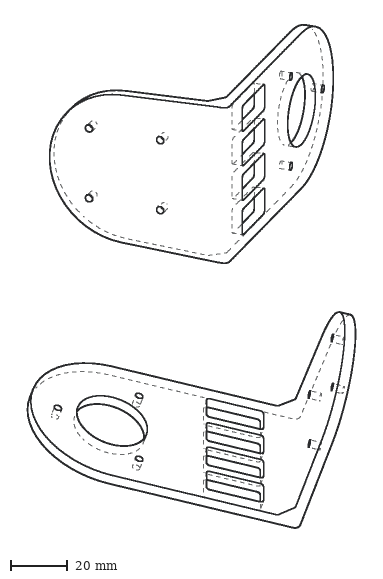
import cadquery as cq
import math

height = 60.0
wall_length = 100.0
foot_length = 67.5
thickness = 4.0
corner_radius = 2.0
gusset_leg = 5.0
gusset_blend_radius = 1.0

wall_end_radius = height / 2
bore_y = wall_length - wall_end_radius
bore_diameter = 26.0
wall_hole_circle_radius = 20.0
wall_hole_count = 3
screw_diameter = 2.7

window_count = 4
window_length = 21.0
window_height = 10.0
window_pitch = window_height * 4 / 3
window_center_y = 24.7
window_corner_radius = 1.2

foot_end_radius = 28.5
foot_center_x = foot_end_radius - foot_length
foot_hole_spacing = 27.0


def make_wall():
    """Plate with a full round far end."""
    half = height / 2
    return (
        cq.Workplane("YZ")
        .moveTo(0, -half)
        .lineTo(bore_y, -half)
        .threePointArc((wall_length, 0), (bore_y, half))
        .lineTo(0, half)
        .close()
        .extrude(-thickness)
    )


def make_foot_outline(depth):
    """Foot outline: straight sides run tangent from the round end to the wall."""
    half = height / 2
    root_x = -thickness
    run = root_x - foot_center_x
    tangent_angle = math.atan2(half, run) + math.acos(foot_end_radius / math.hypot(run, half))
    tangent_x = foot_center_x + foot_end_radius * math.cos(tangent_angle)
    tangent_z = foot_end_radius * math.sin(tangent_angle)
    return (
        cq.Workplane("XZ")
        .moveTo(root_x, -half)
        .lineTo(tangent_x, -tangent_z)
        .threePointArc((-foot_length, 0), (tangent_x, tangent_z))
        .lineTo(root_x, half)
        .close()
        .extrude(-depth)
    )


def make_foot():
    """Foot with a sloped gusset, blended into both plates along the inside corner."""
    gusset_start = (-thickness - gusset_leg, thickness)
    gusset_end = (-thickness, thickness + gusset_leg)
    section = (
        cq.Workplane("XY")
        .workplane(offset=-height / 2)
        .polyline([
            (0, 0),
            (-foot_length, 0),
            (-foot_length, thickness),
            gusset_start,
            gusset_end,
            (-thickness, wall_length),
            (0, wall_length),
        ])
        .close()
        .extrude(height)
    )
    blend_edges = section.edges(cq.selectors.NearestToPointSelector((*gusset_start, 0))).add(
        section.edges(cq.selectors.NearestToPointSelector((*gusset_end, 0)))
    )
    return blend_edges.fillet(gusset_blend_radius).intersect(make_foot_outline(wall_length))


def make_wall_cuts():
    """Bore, its ring of screw holes and the row of windows."""
    bore = cq.Workplane("YZ").center(bore_y, 0).circle(bore_diameter / 2).extrude(-thickness)
    screws = (
        cq.Workplane("YZ")
        .center(bore_y, 0)
        .polarArray(wall_hole_circle_radius, 0, 360, wall_hole_count)
        .circle(screw_diameter / 2)
        .extrude(-thickness)
    )
    windows = (
        cq.Workplane("YZ")
        .center(window_center_y, 0)
        .rarray(1, window_pitch, 1, window_count)
        .rect(window_length, window_height)
        .extrude(-thickness)
        .edges("|X")
        .fillet(window_corner_radius)
    )
    return bore.add(screws).add(windows).combine()


def make_foot_cuts():
    """Square pattern of screw holes around the centre of the round end."""
    return (
        cq.Workplane("XZ")
        .center(foot_center_x, 0)
        .rarray(foot_hole_spacing, foot_hole_spacing, 2, 2)
        .circle(screw_diameter / 2)
        .extrude(-thickness)
    )


wall = make_wall().edges("|Z and >X and <Y").fillet(corner_radius)
bracket = wall.union(make_foot())
result = bracket.cut(make_wall_cuts()).cut(make_foot_cuts())